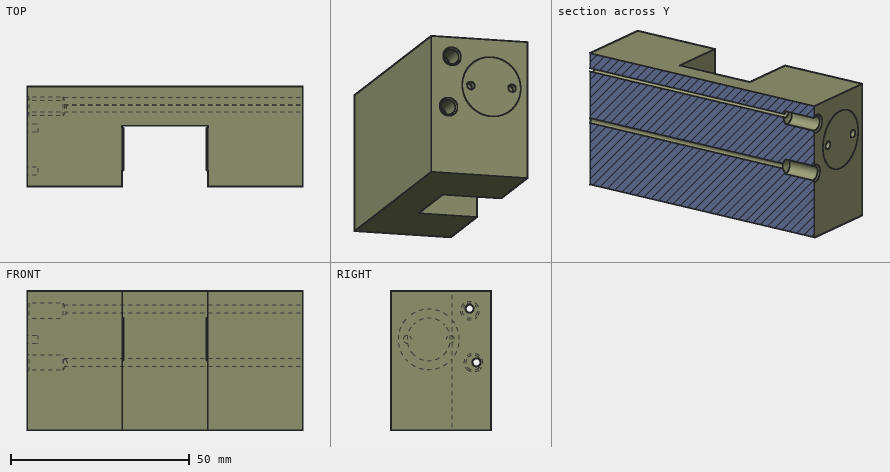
import cadquery as cq
import math

LENGTH = 77.0
DEPTH = 28.0
HEIGHT = 39.0

SLOT_WIDTH = 24.0
SLOT_DEPTH = 17.0

AXIS_Y = 10.5
AXIS_Z = HEIGHT - 13.5

PAD_DIAMETER = 12.0
PAD_PROUD = 0.5
PAD_EDGE_RADIUS = 0.4

COVER_DIAMETER = 17.0
COVER_SETBACK = 0.03
SPANNER_HOLE_DIAMETER = 2.2
SPANNER_HOLE_SPACING = 12.0
SPANNER_HOLE_DEPTH = 3.0

ENTRY_DIAMETER = 4.2
ENTRY_DEPTH = 10.0
ENTRY_CHAMFER = 0.5
DRILL_POINT_ANGLE = 118.0
BORE_DIAMETER = 2.2
UPPER_ENTRY = (22.0, HEIGHT - 5.5)
UPPER_BORE_SHIFT = (0.0, 0.5)
LOWER_ENTRY = (23.0, HEIGHT - 20.0)
LOWER_BORE_SHIFT = (0.9, 0.0)

LEFT_END = -LENGTH / 2


def cylinder_along_x(x_start, y, z, diameter, length):
    """Cylinder whose axis runs toward +X from x_start."""
    return cq.Workplane("YZ", origin=(x_start, y, z)).circle(diameter / 2).extrude(length)


def make_block():
    """Rectangular block with the full-height slot in its front."""
    block = cq.Workplane("XY").box(LENGTH, DEPTH, HEIGHT, centered=(True, False, False))
    slot = cq.Workplane("XY").box(SLOT_WIDTH, SLOT_DEPTH, HEIGHT, centered=(True, False, False))
    return block.cut(slot)


def make_pad():
    """Pad on the left slot wall, with a rounded outer edge."""
    pad = cylinder_along_x(-SLOT_WIDTH / 2, AXIS_Y, AXIS_Z, PAD_DIAMETER, PAD_PROUD)
    return pad.faces(">X").edges().fillet(PAD_EDGE_RADIUS)


def make_cover_cut():
    """Shallow cover recess together with its two spanner holes."""
    cut = cylinder_along_x(LEFT_END, AXIS_Y, AXIS_Z, COVER_DIAMETER, COVER_SETBACK)
    for side in (-1, 1):
        hole_y = AXIS_Y + side * SPANNER_HOLE_SPACING / 2
        cut = cut.union(
            cylinder_along_x(LEFT_END, hole_y, AXIS_Z, SPANNER_HOLE_DIAMETER, SPANNER_HOLE_DEPTH)
        )
    return cut


def make_entry_cut(position, bore_shift):
    """Chamfered drilling with a conical bottom, plus the offset bore through the block."""
    y, z = position
    radius = ENTRY_DIAMETER / 2
    mouth_radius = radius + ENTRY_CHAMFER
    point_length = radius / math.tan(math.radians(DRILL_POINT_ANGLE / 2))
    drilling = (
        cq.Workplane("XY", origin=(LEFT_END, y, z))
        .moveTo(0, 0)
        .lineTo(0, mouth_radius)
        .lineTo(ENTRY_CHAMFER, radius)
        .lineTo(ENTRY_DEPTH, radius)
        .lineTo(ENTRY_DEPTH + point_length, 0)
        .close()
        .revolve(360, (0, 0, 0), (1, 0, 0))
    )
    bore = cylinder_along_x(LEFT_END, y + bore_shift[0], z + bore_shift[1], BORE_DIAMETER, LENGTH)
    return drilling.union(bore)


result = make_block()

left_pad = make_pad()
result = result.union(left_pad).union(left_pad.mirror("YZ"))

result = result.cut(make_cover_cut())
result = result.cut(make_entry_cut(UPPER_ENTRY, UPPER_BORE_SHIFT))
result = result.cut(make_entry_cut(LOWER_ENTRY, LOWER_BORE_SHIFT))